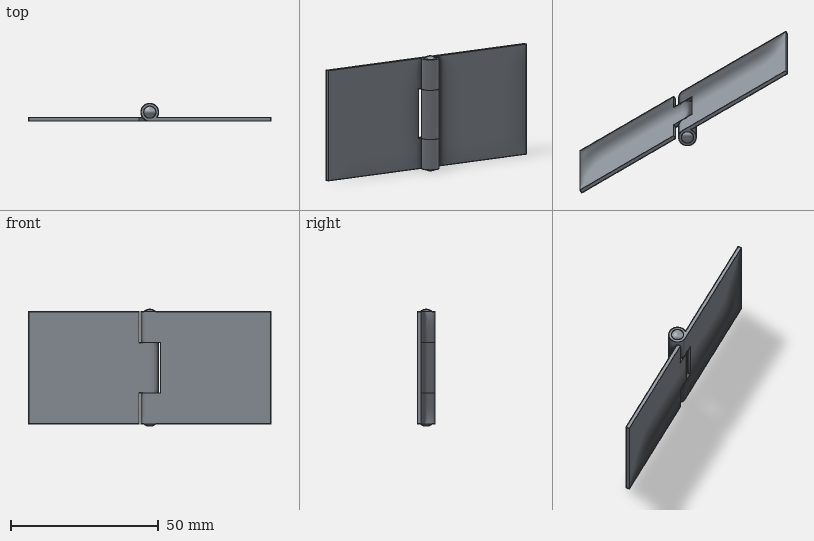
import cadquery as cq

hinge_width = 82.0
leaf_height = 38.0
leaf_thickness = 1.2
knuckle_diameter = 6.0
pin_diameter = 4.1
pin_head_height = 0.8
middle_knuckle_length = 17.0
notch_depth = 3.6

knuckle_radius = knuckle_diameter / 2
pin_radius = pin_diameter / 2
leaf_reach = hinge_width / 2
leaf_top = leaf_height / 2
middle_top = middle_knuckle_length / 2
end_knuckle_length = leaf_top - middle_top

dome_radius = (pin_radius**2 + pin_head_height**2) / (2 * pin_head_height)

middle_section = (-middle_top, middle_knuckle_length)
end_sections = [(-leaf_top, end_knuckle_length), (middle_top, end_knuckle_length)]


def block(x_start, x_end, bottom, height):
    """Flat stretch of a leaf, flush with the front of the knuckles."""
    return (
        cq.Workplane("XY", origin=(0, -knuckle_radius, bottom))
        .rect(x_end - x_start, leaf_thickness, centered=False)
        .extrude(height)
        .translate((x_start, 0, 0))
    )


def cylinder(radius, bottom, height):
    """Round bar on the hinge axis."""
    return cq.Workplane("XY", origin=(0, 0, bottom)).circle(radius).extrude(height)


def make_leaf(side, sections):
    """Leaf on the given side (-1 left, 1 right), with a knuckle at each section."""
    inner_edge = side * notch_depth
    outer_edge = side * leaf_reach
    leaf = block(min(inner_edge, outer_edge), max(inner_edge, outer_edge), -leaf_top, leaf_height)
    for bottom, length in sections:
        strip = block(min(0, inner_edge), max(0, inner_edge), bottom, length)
        leaf = leaf.union(strip).union(cylinder(knuckle_radius, bottom, length))
    return leaf.cut(cylinder(pin_radius, -leaf_top, leaf_height))


def make_pin():
    """Pin filling the bore, with a shallow domed head at each end."""
    head_top = leaf_top + pin_head_height
    return (
        cq.Workplane("XZ")
        .moveTo(0, -head_top)
        .radiusArc((pin_radius, -leaf_top), -dome_radius)
        .lineTo(pin_radius, leaf_top)
        .radiusArc((0, head_top), -dome_radius)
        .close()
        .revolve(360, (0, 0, 0), (0, 1, 0))
    )


left_leaf = make_leaf(-1, [middle_section])
right_leaf = make_leaf(1, end_sections)
pin = make_pin()

result = cq.Compound.makeCompound([left_leaf.solids().val(), right_leaf.solids().val(), pin.val()])